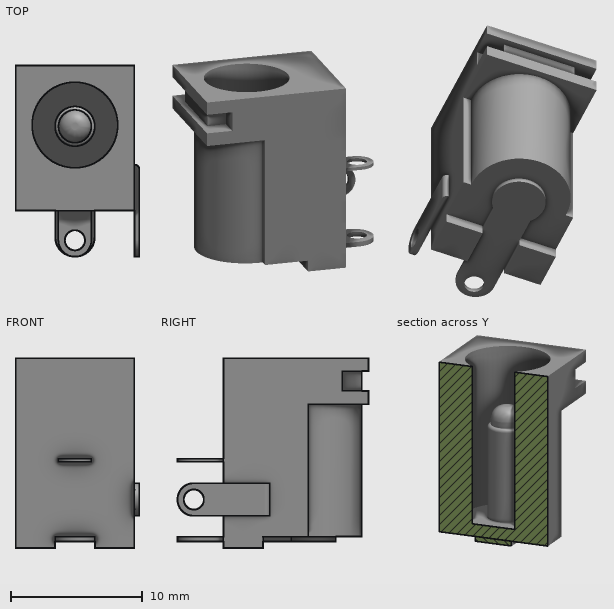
import cadquery as cq

WIDTH = 9.0
DEPTH = 11.0
HEIGHT = 14.4
FOOT_DEPTH = 3.0
FOOT_HEIGHT = 0.87
CAP_BOTTOM = 10.9
SHOULDER_Y = 6.41
BARREL_RADIUS = 3.89
BARREL_Y = 6.61
BORE_RADIUS = 3.25
BORE_Y = 6.5
FLOOR_THICKNESS = 1.02
SLOT_BOTTOM = 11.92
SLOT_TOP = 13.41
SLOT_FRONT_Y = 9.0
CORE_WIDTH = 5.8

PIN_Y = 6.4
SLEEVE_RADIUS = 1.51
TIP_RADIUS = 1.25
TIP_FLAT_RADIUS = 0.28
TIP_HEIGHT = 1.45
SLEEVE_TOP = 9.28

LUG_REACH = 3.5
LUG_WIDTH = 2.5
HOLE_RADIUS = 0.75
BASE_LUG_WIDTH = 2 * SLEEVE_RADIUS
BASE_LUG_THICKNESS = 0.38
BASE_DISC_RADIUS = 2.03
UPPER_LUG_BOTTOM = 6.54
UPPER_LUG_THICKNESS = 0.25
SIDE_LUG_THICKNESS = 0.39
SIDE_LUG_BEND_RADIUS = 0.38
SIDE_LUG_Z = 3.68
SIDE_LUG_BACK_Y = 3.5

HOLE_Y = LUG_WIDTH / 2 - LUG_REACH
BARREL_BACK_Y = BARREL_Y + BARREL_RADIUS


def block(x_size, y_min, y_max, z_min, z_max):
    """Box centred on x = 0 between the given y and z limits."""
    return cq.Workplane("XY").box(
        x_size, y_max - y_min, z_max - z_min, centered=(True, False, False)
    ).translate((0, y_min, z_min))


def cylinder(radius, y, z_min, z_max):
    """Upright cylinder on x = 0."""
    return cq.Workplane("XY", origin=(0, y, z_min)).circle(radius).extrude(z_max - z_min)


def make_housing():
    column = block(WIDTH, 0, SHOULDER_Y, FOOT_HEIGHT, CAP_BOTTOM)
    foot = block(WIDTH, 0, FOOT_DEPTH, 0, FOOT_HEIGHT)
    cap = block(WIDTH, 0, DEPTH, CAP_BOTTOM, HEIGHT)
    straight_back = block(2 * BARREL_RADIUS, SHOULDER_Y, BARREL_Y, FOOT_HEIGHT, CAP_BOTTOM)
    round_back = cylinder(BARREL_RADIUS, BARREL_Y, FOOT_HEIGHT, CAP_BOTTOM)
    body = column.union(foot).union(cap).union(straight_back).union(round_back)

    slot = block(WIDTH, SLOT_FRONT_Y, DEPTH, SLOT_BOTTOM, SLOT_TOP)
    web = block(CORE_WIDTH, SLOT_FRONT_Y, BARREL_BACK_Y, SLOT_BOTTOM, SLOT_TOP)
    body = body.cut(slot.cut(web))

    bore = cylinder(BORE_RADIUS, BORE_Y, FOOT_HEIGHT + FLOOR_THICKNESS, HEIGHT)
    sleeve_hole = cylinder(SLEEVE_RADIUS, PIN_Y, FOOT_HEIGHT, HEIGHT)
    channel = block(BASE_LUG_WIDTH, 0, FOOT_DEPTH, 0, FOOT_HEIGHT)
    return body.cut(bore).cut(sleeve_hole).cut(channel)


def make_sleeve():
    """Centre contact standing on the base lug, with a rounded shoulder."""
    sleeve = cylinder(SLEEVE_RADIUS, PIN_Y, FOOT_HEIGHT, SLEEVE_TOP)
    return sleeve.faces(">Z").edges().fillet(SLEEVE_RADIUS - TIP_RADIUS)


def make_tip():
    """Domed tip with a small flat, seated on the sleeve."""
    tip = cylinder(TIP_RADIUS, PIN_Y, SLEEVE_TOP, SLEEVE_TOP + TIP_HEIGHT)
    return tip.faces(">Z").edges().fillet(TIP_RADIUS - TIP_FLAT_RADIUS)


def make_lug(width, thickness, back_y):
    """Flat strip on z = 0 with a round front end and a solder hole."""
    end_y = width / 2 - LUG_REACH
    strip = block(width, end_y, back_y, 0, thickness)
    round_end = cylinder(width / 2, end_y, 0, thickness)
    hole = cylinder(HOLE_RADIUS, HOLE_Y, 0, thickness)
    return strip.union(round_end).cut(hole)


def make_base_lug():
    """Lug under the housing that ends in a disc below the bore."""
    strip = make_lug(BASE_LUG_WIDTH, BASE_LUG_THICKNESS, BORE_Y)
    disc = cylinder(BASE_DISC_RADIUS, BORE_Y, 0, BASE_LUG_THICKNESS)
    return strip.union(disc).translate((0, 0, FOOT_HEIGHT - BASE_LUG_THICKNESS))


def make_upper_lug():
    """Lug standing out from the front face."""
    return make_lug(LUG_WIDTH, UPPER_LUG_THICKNESS, 0).translate((0, 0, UPPER_LUG_BOTTOM))


def make_side_lug():
    """Lug lying on the +X face, with its outer back edge rounded."""
    lug = make_lug(LUG_WIDTH, SIDE_LUG_THICKNESS, SIDE_LUG_BACK_Y)
    lug = lug.faces(">Z").edges(">Y").fillet(SIDE_LUG_BEND_RADIUS)
    upright = lug.rotate((0, 0, 0), (0, 1, 0), 90)
    return upright.translate((WIDTH / 2, 0, SIDE_LUG_Z))


housing = make_housing()
sleeve = make_sleeve()
tip = make_tip()
base_lug = make_base_lug()
upper_lug = make_upper_lug()
side_lug = make_side_lug()

result = cq.Compound.makeCompound([
    housing.solids().val(),
    sleeve.solids().val(),
    tip.solids().val(),
    base_lug.solids().val(),
    upper_lug.solids().val(),
    side_lug.solids().val(),
])